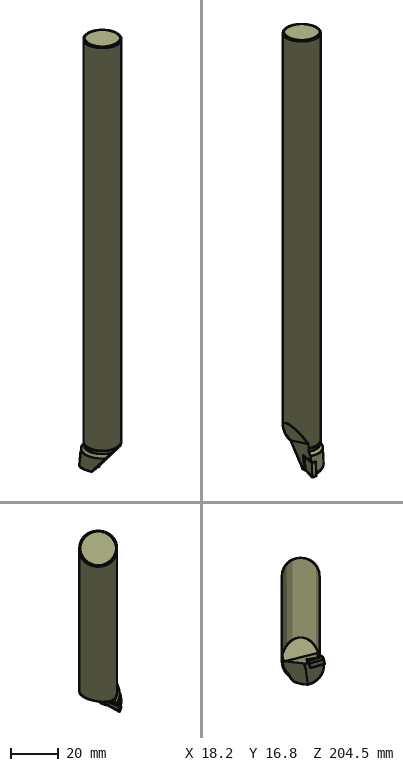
import cadquery as cq
import math


overall_length = 204.5
shank_diameter = 16.0
shank_radius = shank_diameter / 2
shank_bottom = 12.7
end_chamfer = 0.51

neck_radius = 7.5
neck_bottom = 11.0
head_radius = 8.8
head_top_offset = -0.2
head_bottom_offset = -1.2
head_top = 9.6
flank_toe_x = -1.6
flank_toe_z = 1.0
bottom_clearance = 13.0
bottom_edge_z = 0.6

chip_x_slope = 0.13
chip_z_slope = 0.06
chip_y_at_origin = 0.8
ramp_x_slope = 0.3
ramp_z_slope = 0.62
ramp_y_at_origin = -6.1

tip_x = -10.2
insert_side = 6.7
insert_thickness = 2.0
insert_corner_angle = 80.0
insert_lead_angle = 5.0
insert_relief = 7.0

reach = 40.9


def space_in_front_of(y_at_origin, x_slope, z_slope):
    """Block on the +Y side of a sloping plane."""
    plane = cq.Plane(
        origin=(0, y_at_origin, 0),
        xDir=(1, x_slope, 0),
        normal=(-x_slope, 1, -z_slope),
    )
    return cq.Workplane(plane).rect(2 * reach, 2 * reach).extrude(reach)


def make_blank():
    """Round shank, waisted neck and a head that leans towards -X, before the flats are cut."""
    shank = (
        cq.Workplane("XY", origin=(0, 0, shank_bottom))
        .circle(shank_radius)
        .extrude(overall_length - shank_bottom)
        .faces(">Z")
        .chamfer(end_chamfer)
    )
    neck = (
        cq.Workplane("XY", origin=(0, 0, neck_bottom))
        .circle(neck_radius)
        .extrude(shank_bottom - neck_bottom)
    )
    shoulder = (
        cq.Workplane("XY", origin=(0, 0, neck_bottom))
        .circle(neck_radius)
        .workplane(offset=head_top - neck_bottom)
        .center(head_top_offset, 0)
        .circle(head_radius)
        .loft()
    )
    head = (
        cq.Workplane("XY")
        .center(head_bottom_offset, 0)
        .circle(head_radius)
        .workplane(offset=head_top)
        .center(head_top_offset - head_bottom_offset, 0)
        .circle(head_radius)
        .loft()
    )
    return shank.union(neck).union(shoulder).union(head)


def make_flank_cut():
    """Slanted relief from the toe of the head up to the +X side of the shank."""
    return (
        cq.Workplane("XZ")
        .moveTo(flank_toe_x, flank_toe_z)
        .lineTo(shank_radius, shank_bottom)
        .lineTo(reach, shank_bottom)
        .lineTo(reach, -reach)
        .lineTo(flank_toe_x, -reach)
        .close()
        .extrude(reach, both=True)
    )


def make_bottom_cut():
    """Clearance under the head, rising from the chip face towards -Y."""
    rise = reach * math.tan(math.radians(bottom_clearance))
    return (
        cq.Workplane("YZ")
        .moveTo(reach, bottom_edge_z - rise)
        .lineTo(-reach, bottom_edge_z + rise)
        .lineTo(-reach, -reach)
        .lineTo(reach, -reach)
        .close()
        .extrude(reach, both=True)
    )


def make_insert():
    """Rhombic insert with its face at Y = 0, tapering towards -Y."""
    low_angle = math.radians(insert_lead_angle)
    high_angle = math.radians(insert_lead_angle + insert_corner_angle)
    low_edge = (insert_side * math.cos(low_angle), insert_side * math.sin(low_angle))
    high_edge = (insert_side * math.cos(high_angle), insert_side * math.sin(high_angle))
    far_corner = (low_edge[0] + high_edge[0], low_edge[1] + high_edge[1])
    return (
        cq.Workplane("XZ", origin=(tip_x, 0, 0))
        .polyline([(0, 0), low_edge, far_corner, high_edge])
        .close()
        .extrude(insert_thickness, taper=insert_relief)
    )


def make_insert_clearance(insert):
    """Open space over the insert, up to the chip face."""
    return insert.faces(">Y").wires().toPending().workplane().extrude(shank_radius, combine=False)


def make_holder(insert):
    """Shank and head with the chip face, reliefs and insert pocket cut."""
    chip_space = space_in_front_of(chip_y_at_origin, chip_x_slope, chip_z_slope)
    ramp_space = space_in_front_of(ramp_y_at_origin, ramp_x_slope, ramp_z_slope)
    return (
        make_blank()
        .cut(chip_space.intersect(ramp_space))
        .cut(make_flank_cut())
        .cut(make_bottom_cut())
        .cut(make_insert_clearance(insert))
        .cut(insert)
    )


insert = make_insert()
holder = make_holder(insert)

result = cq.Compound.makeCompound([holder.solids().val(), insert.val()])